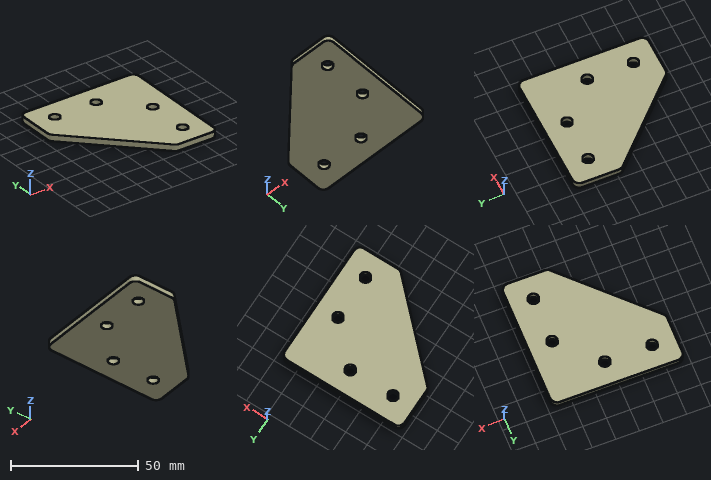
import cadquery as cq

side = 56.0
thickness = 3.0
arm_width = 20.0
corner_radius = 3.0
hole_diameter = 4.5
hole_pitch = 20.0

edge_distance = arm_width / 2
half_side = side / 2
hole_line = half_side - edge_distance
outer_hole = -half_side + edge_distance
inner_hole = outer_hole + hole_pitch
hole_centres = [
    (outer_hole, hole_line),
    (inner_hole, hole_line),
    (hole_line, inner_hole),
    (hole_line, outer_hole),
]

outline = [
    (-half_side, half_side),
    (half_side, half_side),
    (half_side, -half_side),
    (half_side - arm_width, -half_side),
    (-half_side, half_side - arm_width),
]
plate = cq.Workplane("XY").polyline(outline).close().extrude(thickness)

plate = plate.edges("|Z").fillet(corner_radius)

holes = cq.Workplane("XY").pushPoints(hole_centres).circle(hole_diameter / 2).extrude(thickness)

result = plate.cut(holes)